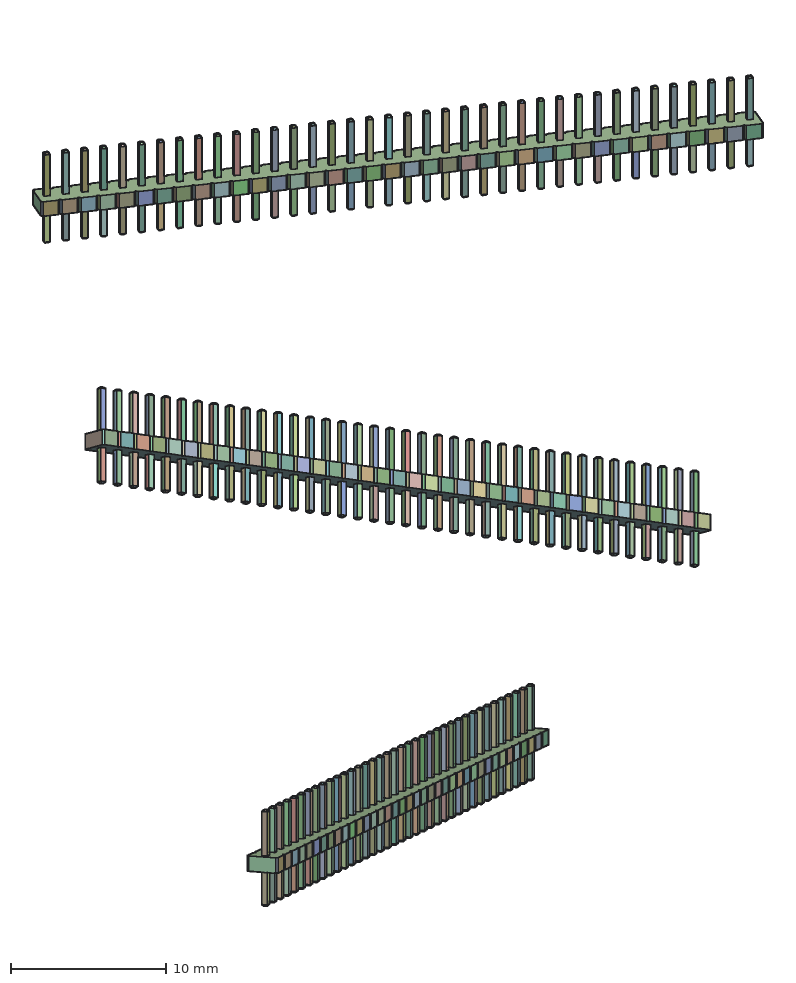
import cadquery as cq

pin_count = 38
strip_length = 48.25
pitch = strip_length / pin_count

body_width = 2.1
body_height = 1.0
corner_chamfer = 0.13

pin_side = 0.4
pin_above_body = 3.0
pin_below_body = 2.3
tip_chamfer = 0.11
pin_length = pin_below_body + body_height + pin_above_body

pin_positions = [(0, (index - (pin_count - 1) / 2) * pitch) for index in range(pin_count)]


def make_strip():
    """Body outline with a V notch in both sides wherever two segments meet."""
    half_width = body_width / 2
    notch_floor = half_width - corner_chamfer
    half_flat = pitch / 2 - corner_chamfer

    side = []
    for _, centre in pin_positions:
        side.append((notch_floor, centre - pitch / 2))
        side.append((half_width, centre - half_flat))
        side.append((half_width, centre + half_flat))
    side.append((notch_floor, strip_length / 2))
    opposite_side = [(-x, -y) for x, y in side]

    return cq.Workplane("XY").polyline(side + opposite_side).close().extrude(body_height)


def make_pin():
    """One pin centred on the Z axis, with all edges of both tips chamfered."""
    return (
        cq.Workplane("XY")
        .workplane(offset=-pin_below_body)
        .rect(pin_side, pin_side)
        .extrude(pin_length)
        .faces("<Z or >Z")
        .chamfer(tip_chamfer)
    )


pin = make_pin().val()
pins = [pin.translate(cq.Vector(x, y, 0)) for x, y in pin_positions]
result = cq.Workplane(make_strip().val().fuse(*pins))